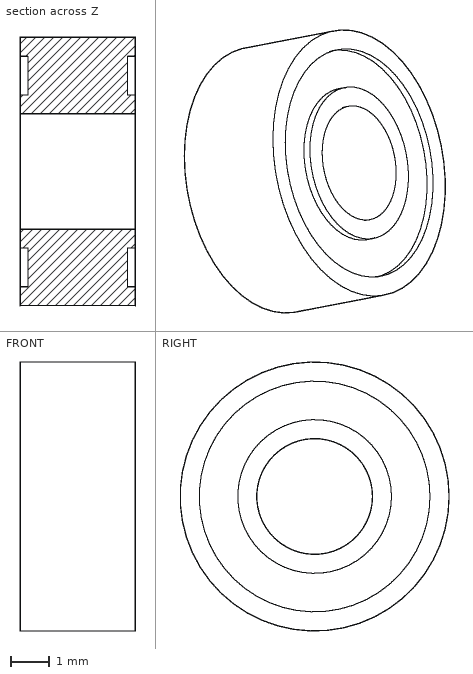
import cadquery as cq

outer_diameter = 7.0
shield_outer_diameter = 6.0
shield_inner_diameter = 4.0
bore_diameter = 3.0
width = 3.0
recess_depth = 0.2


def ring(outer, inner, start, length):
    """Ring about the X axis, from x = start to x = start + length."""
    return (
        cq.Workplane("YZ", origin=(start, 0, 0))
        .circle(outer / 2)
        .circle(inner / 2)
        .extrude(length)
    )


result = ring(outer_diameter, bore_diameter, -width / 2, width)

for recess_start in (-width / 2, width / 2 - recess_depth):
    recess = ring(shield_outer_diameter, shield_inner_diameter, recess_start, recess_depth)
    result = result.cut(recess)